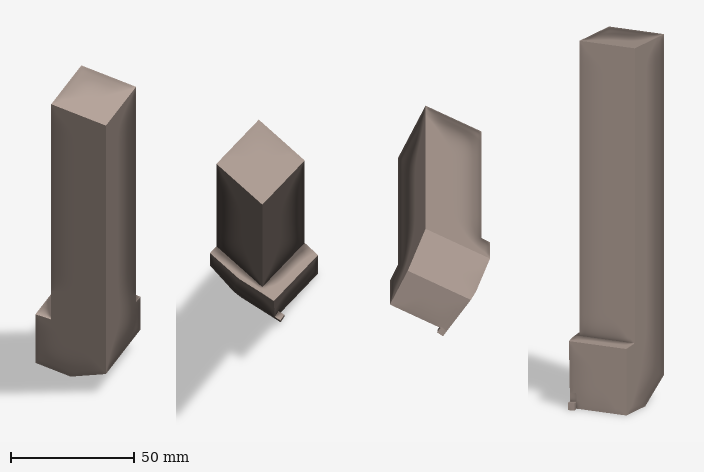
import cadquery as cq
import math

shank_side = 25.3
shank_top = 152.3
joint_height = 38.6

head_overhang_left = 7.3
head_overhang_back = 3.8
ledge_height = 28.5
ledge_angle = 5
chamfer_width = 16.3
chamfer_angle = 30

rake_start_y = 25.8
rake_angle = 9.5
rake_lean = 1.1
cutter_size = 152.6

insert_length = 10.4
insert_height = 6.4
insert_thickness = 2.9
tip_drop = 0.3
tip_reach = 2.7
tip_height = 2.7

head_depth = shank_side + head_overhang_back
ledge_slope = math.tan(math.radians(ledge_angle))
left_ledge_height = ledge_height - head_overhang_left * ledge_slope
back_ledge_height = ledge_height - head_overhang_back * ledge_slope
chamfer_height = chamfer_width * math.tan(math.radians(chamfer_angle))


def rake_plane():
    """Plane of the rake face: local X along the face, local Y up it, normal into the head."""
    turn = math.radians(rake_angle)
    lean = math.radians(rake_lean)
    along = (math.cos(turn), math.sin(turn), 0)
    inward = (
        math.sin(turn) * math.cos(lean),
        -math.cos(turn) * math.cos(lean),
        math.sin(lean),
    )
    return cq.Plane(origin=(-head_overhang_left, rake_start_y, 0), xDir=along, normal=inward)


def make_shank():
    return (
        cq.Workplane("XY", origin=(0, 0, joint_height))
        .rect(shank_side, shank_side, centered=False)
        .extrude(shank_top - joint_height)
    )


def make_insert():
    return (
        cq.Workplane(rake_plane())
        .moveTo(-tip_reach, -tip_drop)
        .lineTo(0, 0)
        .lineTo(insert_length, 0)
        .lineTo(insert_length, insert_height)
        .lineTo(0, insert_height)
        .lineTo(0, tip_height)
        .lineTo(-tip_reach, tip_height)
        .close()
        .extrude(insert_thickness)
    )


def make_insert_pocket():
    """Room for the insert, open towards the left, the bottom and the rake face."""
    return (
        cq.Workplane(rake_plane())
        .moveTo(-tip_reach, -tip_drop)
        .lineTo(insert_length, -tip_drop)
        .lineTo(insert_length, insert_height)
        .lineTo(-tip_reach, insert_height)
        .close()
        .extrude(insert_thickness)
    )


def make_head():
    front_outline = (
        cq.Workplane("XZ")
        .moveTo(-head_overhang_left, 0)
        .lineTo(shank_side - chamfer_width, 0)
        .lineTo(shank_side, chamfer_height)
        .lineTo(shank_side, joint_height)
        .lineTo(0, joint_height)
        .lineTo(0, ledge_height)
        .lineTo(-head_overhang_left, left_ledge_height)
        .close()
        .extrude(-head_depth)
    )
    side_outline = (
        cq.Workplane("YZ", origin=(-head_overhang_left, 0, 0))
        .lineTo(head_depth, 0)
        .lineTo(head_depth, back_ledge_height)
        .lineTo(shank_side, ledge_height)
        .lineTo(shank_side, joint_height)
        .lineTo(0, joint_height)
        .close()
        .extrude(head_overhang_left + shank_side)
    )
    outside_rake_face = cq.Workplane(rake_plane()).rect(cutter_size, cutter_size).extrude(-cutter_size)
    return front_outline.intersect(side_outline).cut(outside_rake_face).cut(make_insert_pocket())


shank = make_shank()
head = make_head()
cutting_insert = make_insert()

result = cq.Compound.makeCompound([shank.val(), head.val(), cutting_insert.val()])